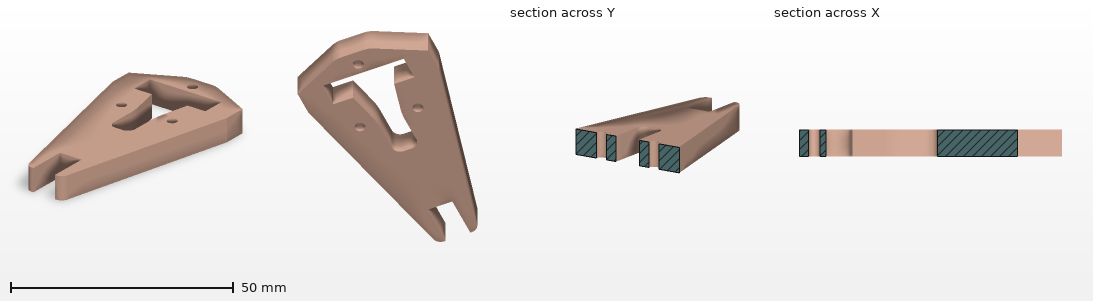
import cadquery as cq

length = 59.0
width = 32.0
thickness = 6.0

foot_width = 10.05
taper_top_y = 47.0
shoulder_y = 53.0
head_width = 8.0
head_radius = 5.0
foot_radius = 2.0

channel_width = 6.0
crossbar_width = 20.0
neck_top_width = 10.05
neck_bottom_y = 38.2
window_end_y = 28.0
neck_blend_radius = 13.55
window_end_radius = 2.0

slot_depth = 10.05

hole_diameter = 2.5
head_hole_y = 55.6
side_hole_y = 38.45
side_hole_x = 7.1


def mirrored_prism(right_points):
    """Extrude the outline made of right-hand points and their mirror images."""
    left_points = [(-x, y) for x, y in reversed(right_points)]
    return cq.Workplane("XY").polyline(right_points + left_points).close().extrude(thickness)


def round_edge_pair(body, half_width, y, radius):
    """Round the two upright edges at X = +/-half_width."""
    for x in (-half_width, half_width):
        edge = cq.selectors.NearestToPointSelector((x, y, thickness / 2))
        body = body.edges("|Z").edges(edge).fillet(radius)
    return body


def make_plate():
    plate = mirrored_prism([
        (foot_width / 2, 0),
        (width / 2, taper_top_y),
        (width / 2, shoulder_y),
        (head_width / 2, length),
    ])
    plate = round_edge_pair(plate, head_width / 2, length, head_radius)
    return round_edge_pair(plate, foot_width / 2, 0, foot_radius)


def make_window():
    window = mirrored_prism([
        (channel_width / 2, window_end_y),
        (channel_width / 2, neck_bottom_y),
        (neck_top_width / 2, taper_top_y),
        (crossbar_width / 2, taper_top_y),
        (crossbar_width / 2, shoulder_y),
    ])
    window = round_edge_pair(window, channel_width / 2, neck_bottom_y, neck_blend_radius)
    return round_edge_pair(window, channel_width / 2, window_end_y, window_end_radius)


def make_foot_slot():
    return mirrored_prism([(channel_width / 2, 0), (channel_width / 2, slot_depth)])


def make_holes():
    centers = [(0, head_hole_y), (-side_hole_x, side_hole_y), (side_hole_x, side_hole_y)]
    return cq.Workplane("XY").pushPoints(centers).circle(hole_diameter / 2).extrude(thickness)


result = make_plate().cut(make_window()).cut(make_foot_slot()).cut(make_holes())